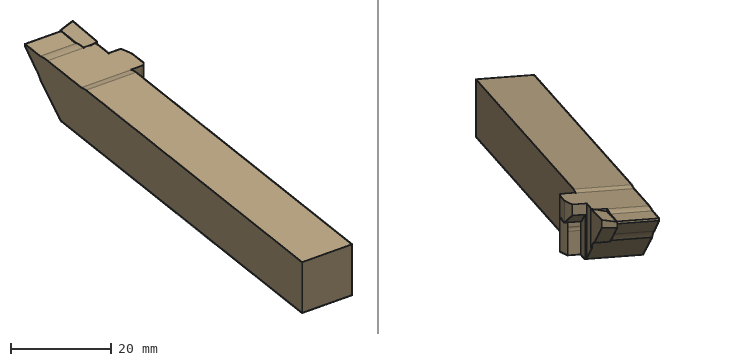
import cadquery as cq

length = 100.0
shank_width = 12.0
shank_height = 12.0
overall_width = 15.5
tip_height = 12.2

head_height = 11.7
head_start = 8.8
head_end = 20.9
ramp_end = 22.6

nose_x = 0.8
nose_height = 11.4
nose_bottom = 10.9
nose_flat_end = 6.2
heel_x = 13.6

step_top = (4.5, 7.7)
step_middle = (5.6, 6.8)
step_bottom = (6.3, 5.8)

insert_inner_y = 8.7
insert_end = 8.8
insert_bottom_x = 6.1
insert_bottom_z = 5.6
tip_bottom = 10.6
tip_setback = 0.5
top_tilt = 1.8
cutter_margin = 1.0
insert_low_edge = 11.4

boss_start = 13.3
boss_shoulder_y = 14.6
boss_crown_length = 3.0
crown_bulge = 0.6
boss_corner = 0.9
boss_lip_bottom = 9.4
boss_relief_x = 16.2
boss_relief_top = 7.1
boss_fillet_drop = 2.0
lower_front_x = 16.9

seat_depth = 0.3


def prism_along_y(outline, y_start, y_end):
    """Extrude an XZ outline from y_start to y_end."""
    plane = cq.Workplane("XZ", origin=(0, y_start, 0))
    return plane.polyline(outline).close().extrude(y_start - y_end)


def make_holder():
    profile = (
        cq.Workplane("XZ")
        .moveTo(heel_x, 0)
        .lineTo(length, 0)
        .lineTo(length, shank_height)
        .lineTo(ramp_end, shank_height)
        .lineTo(head_end, head_height)
        .lineTo(head_start, head_height)
        .tangentArcPoint((nose_flat_end, nose_height), relative=False)
        .lineTo(nose_x, nose_height)
        .lineTo(nose_x, nose_bottom)
        .lineTo(*step_top)
        .threePointArc(step_middle, step_bottom)
        .close()
    )
    return profile.extrude(-shank_width)


def make_insert_pocket():
    """Clear the holder where the insert sits."""
    pocket_height = tip_height - insert_bottom_z
    return cq.Workplane("XY").box(
        insert_end, shank_width - insert_inner_y, pocket_height, centered=False
    ).translate((0, insert_inner_y, insert_bottom_z))


def make_insert():
    """Insert with a raised tip and a top that falls towards the holder."""
    side = [
        (0, tip_bottom),
        (0, tip_height),
        (insert_end, tip_height),
        (insert_end, insert_bottom_z),
        (insert_bottom_x, insert_bottom_z),
    ]
    body = prism_along_y(side, insert_inner_y, shank_width)
    section = (
        cq.Workplane("YZ", origin=(-cutter_margin, 0, 0))
        .polyline([
            (insert_inner_y, 0),
            (shank_width, 0),
            (shank_width, tip_height),
            (insert_inner_y, insert_low_edge),
        ])
        .close()
        .extrude(insert_end + 2 * cutter_margin)
        .rotate((0, 0, tip_height), (0, 1, tip_height), top_tilt)
    )
    plan = (
        cq.Workplane("XY")
        .polyline([
            (tip_setback, insert_inner_y),
            (insert_end, insert_inner_y),
            (insert_end, shank_width),
            (0, shank_width),
        ])
        .close()
        .extrude(tip_height)
    )
    return body.intersect(section).intersect(plan)


def make_boss_plan(front_x, height):
    """Block with a rounded crown whose front face is at front_x."""
    crown_x = front_x + boss_crown_length
    arc_rise = crown_bulge * (overall_width - boss_shoulder_y)
    return (
        cq.Workplane("XY")
        .moveTo(front_x, insert_inner_y)
        .lineTo(front_x, boss_shoulder_y)
        .threePointArc(
            ((front_x + crown_x) / 2, boss_shoulder_y + arc_rise),
            (crown_x, overall_width),
        )
        .lineTo(head_end - boss_corner, overall_width)
        .tangentArcPoint((head_end, overall_width - boss_corner), relative=False)
        .lineTo(head_end, insert_inner_y)
        .close()
        .extrude(height)
    )


def make_boss():
    """Side boss: an overhanging lip above a set-back lower block."""
    relief_bottom = boss_relief_top - boss_fillet_drop
    relief = (
        cq.Workplane("XZ", origin=(0, insert_inner_y, 0))
        .moveTo(boss_start, 0)
        .lineTo(boss_start, boss_lip_bottom)
        .lineTo(boss_relief_x, boss_relief_top)
        .tangentArcPoint((lower_front_x, relief_bottom), relative=False)
        .lineTo(lower_front_x, 0)
        .close()
        .extrude(insert_inner_y - overall_width)
    )
    lower_zone = cq.Workplane("XY").box(
        head_end, overall_width, boss_relief_top, centered=False
    )
    lower_block = make_boss_plan(lower_front_x, boss_relief_top)
    upper_lip = make_boss_plan(boss_start, head_height).cut(lower_zone)
    return upper_lip.union(lower_block).cut(relief)


seat_clearance = cq.Workplane("XY").box(
    boss_start - head_start, seat_depth, shank_height, centered=False
).translate((head_start, shank_width - seat_depth, 0))

result = (
    make_holder()
    .cut(make_insert_pocket())
    .cut(seat_clearance)
    .union(make_insert())
    .union(make_boss())
)